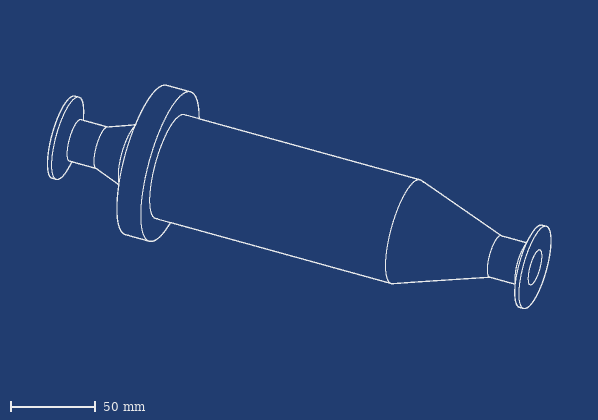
import cadquery as cq

length = 300.0
rim_thickness = 2.7
ferrule_length = 7.5
inlet_cone_start = 24.5
inlet_cone_end = 42.5
flange_start = 52.5
flange_thickness = 15.3
body_end = 217.8
outlet_cone_end = 274.8

bore_diameter = 21.3
tube_diameter = 25.5
hub_diameter = 38.0
ferrule_diameter = 50.5
body_diameter = 63.5
flange_diameter = 91.5


def cylinder(start, end, diameter):
    """Solid round section along X."""
    return cq.Workplane("YZ", origin=(start, 0, 0)).circle(diameter / 2).extrude(end - start)


def cone(start, end, start_diameter, end_diameter):
    """Solid tapered section along X."""
    profile = [
        (start, 0),
        (start, start_diameter / 2),
        (end, end_diameter / 2),
        (end, 0),
    ]
    return cq.Workplane("XY").polyline(profile).close().revolve(360, (0, 0, 0), (1, 0, 0))


def ferrule():
    """Clamp ferrule at the inlet end: flat rim with a tapered back."""
    rim = cylinder(0, rim_thickness, ferrule_diameter)
    return rim.union(cone(rim_thickness, ferrule_length, ferrule_diameter, tube_diameter))


flange_end = flange_start + flange_thickness
inlet_ferrule = ferrule()
outlet_ferrule = inlet_ferrule.mirror("YZ").translate((length, 0, 0))

sections = [
    cylinder(ferrule_length, inlet_cone_start, tube_diameter),
    cone(inlet_cone_start, inlet_cone_end, tube_diameter, hub_diameter),
    cylinder(inlet_cone_end, flange_start, hub_diameter),
    cylinder(flange_start, flange_end, flange_diameter),
    cylinder(flange_end, body_end, body_diameter),
    cone(body_end, outlet_cone_end, body_diameter, tube_diameter),
    cylinder(outlet_cone_end, length - ferrule_length, tube_diameter),
    outlet_ferrule,
]

outside = inlet_ferrule
for section in sections:
    outside = outside.union(section)

result = outside.cut(cylinder(0, length, bore_diameter))